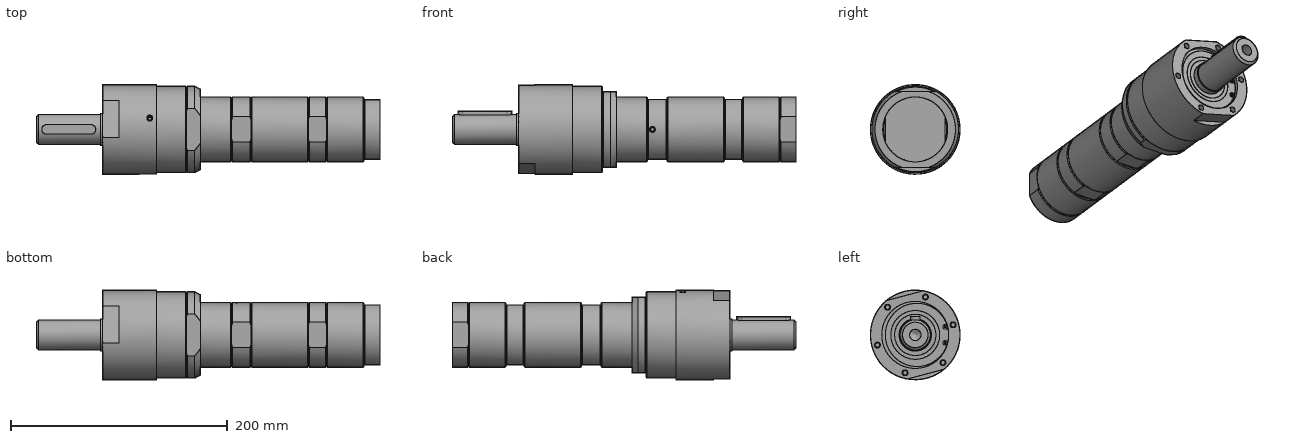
import cadquery as cq
import math

COLLAR_START = 59.5
FLANGE_FACE = 61.3
FLANGE_FLAT_END = 76.5
HOUSING_END = 111.0
ADAPTER_END = 138.7
NUT_CHAMFER_START = 146.0
NUT_END = 151.5
FRONT_BODY_END = 180.3
FRONT_FLATS_END = 198.0
MIDDLE_BODY_END = 251.0
REAR_FLATS_END = 268.0
REAR_BODY_END = 302.5
OVERALL_LENGTH = 317.5

SHAFT_DIA = 28.0
COLLAR_DIA = 30.0
HOUSING_DIA = 83.0
ADAPTER_DIA = 80.0
NUT_END_DIA = 74.3
BODY_DIA = 60.0

SHAFT_CHAMFER = 2.2
EDGE_CHAMFER = 1.0

NUT_FLATS = 70.0
BODY_FLATS = 55.2
FLANGE_FLATS = 75.0
FLANGE_TILT = 15.0

KEY_START = 5.0
KEY_LENGTH = 50.0
KEY_WIDTH = 9.0
KEY_TOP = 16.8

CENTRE_HOLE_DIA = 10.5
CENTRE_HOLE_DEPTH = 19.0
DRILL_POINT_ANGLE = 118.0

POCKET_DIA = 62.0
POCKET_DEPTH = 3.5
POCKET_FLOOR = FLANGE_FACE + POCKET_DEPTH
ECCENTRIC_STEP_DIA = 58.5
ECCENTRIC_STEP_DEPTH = 0.3
ECCENTRICITY = 1.5
SEAL_RING_OUTER_DIA = 45.0
SEAL_RING_INNER_DIA = 38.0
SEAL_RING_HEIGHT = 0.3
SCREW_COUNT = 6
SCREW_CIRCLE_RADIUS = 36.2
SCREW_HOLE_DIA = 4.0
SCREW_MOUTH_DIA = 5.5
SCREW_MOUTH_DEPTH = 6.5
SCREW_HOLE_DEPTH = 12.7
PIN_CIRCLE_RADIUS = 28.5
PIN_HOLE_DIA = 1.55
PIN_MOUTH_DIA = 4.0
PIN_MOUTH_DEPTH = 0.5
PIN_HOLE_DEPTH = 4.8

RADIAL_MOUTH_DIA = 5.5
RADIAL_MOUTH_DEPTH = 1.5
RADIAL_HOLE_DIA = 3.5
RADIAL_HOLE_DEPTH = 4.8
HOUSING_HOLE_X = 104.8
BODY_HOLE_X = 184.8


def cylinder(start, end, diameter, y=0.0):
    """Cylinder along X between two stations."""
    return cq.Workplane("YZ", origin=(start, y, 0)).circle(diameter / 2).extrude(end - start)


def with_flats(section, across_flats, axis):
    """Keep the part of a turned section between two flats facing plus and minus the given axis."""
    box_size = [OVERALL_LENGTH, HOUSING_DIA, HOUSING_DIA]
    box_size["XYZ".index(axis)] = across_flats
    slab = cq.Workplane("XY").box(*box_size).translate((OVERALL_LENGTH / 2, 0, 0))
    return section.intersect(slab)


def stepped_hole(mouth_dia, mouth_depth, hole_dia, hole_depth):
    """Cutter along X for a blind hole with a wider mouth; the mouth lies at the origin."""
    return cylinder(0, mouth_depth, mouth_dia).union(cylinder(0, hole_depth, hole_dia))


def make_shaft():
    shaft = cylinder(0, FLANGE_FACE, SHAFT_DIA).faces("<X").chamfer(SHAFT_CHAMFER)
    collar = cylinder(COLLAR_START, POCKET_FLOOR + ECCENTRIC_STEP_DEPTH, COLLAR_DIA)
    key = (
        cq.Workplane("XY", origin=(KEY_START + KEY_LENGTH / 2, 0, 0))
        .slot2D(KEY_LENGTH, KEY_WIDTH)
        .extrude(KEY_TOP)
    )
    hole_radius = CENTRE_HOLE_DIA / 2
    point_length = hole_radius / math.tan(math.radians(DRILL_POINT_ANGLE / 2))
    centre_hole = (
        cq.Workplane("XY")
        .polyline([
            (0, 0),
            (0, hole_radius),
            (CENTRE_HOLE_DEPTH, hole_radius),
            (CENTRE_HOLE_DEPTH + point_length, 0),
        ])
        .close()
        .revolve(360, (0, 0, 0), (1, 0, 0))
    )
    return shaft.union(collar).union(key).cut(centre_hole)


def cut_flange_pocket(housing):
    """Round pocket with a shallow eccentric step and a raised seal ring on its floor."""
    step_floor = POCKET_FLOOR + ECCENTRIC_STEP_DEPTH
    pocket = cylinder(FLANGE_FACE, POCKET_FLOOR, POCKET_DIA)
    step = cylinder(POCKET_FLOOR, step_floor, ECCENTRIC_STEP_DIA, y=-ECCENTRICITY)
    ring_start = step_floor - SEAL_RING_HEIGHT
    seal_ring = cylinder(ring_start, step_floor, SEAL_RING_OUTER_DIA).cut(
        cylinder(ring_start, step_floor, SEAL_RING_INNER_DIA)
    )
    return housing.cut(pocket).cut(step).union(seal_ring)


def cut_flange_holes(housing):
    """Ring of screw holes in the flange face and two pin holes in the pocket floor."""
    screw_hole = stepped_hole(SCREW_MOUTH_DIA, SCREW_MOUTH_DEPTH, SCREW_HOLE_DIA, SCREW_HOLE_DEPTH)
    screw_hole = screw_hole.translate((FLANGE_FACE, 0, SCREW_CIRCLE_RADIUS))
    for index in range(SCREW_COUNT):
        angle = FLANGE_TILT + index * 360 / SCREW_COUNT
        housing = housing.cut(screw_hole.rotate((0, 0, 0), (1, 0, 0), angle))

    pin_hole = stepped_hole(PIN_MOUTH_DIA, PIN_MOUTH_DEPTH, PIN_HOLE_DIA, PIN_HOLE_DEPTH)
    pin_hole = pin_hole.translate((POCKET_FLOOR + ECCENTRIC_STEP_DEPTH, -PIN_CIRCLE_RADIUS, 0))
    for angle in (FLANGE_TILT, -FLANGE_TILT):
        housing = housing.cut(pin_hole.rotate((0, 0, 0), (1, 0, 0), angle))
    return housing


def radial_hole(x, outside_dia):
    """Stepped hole cutter entering a cylinder from its +Z side."""
    hole = stepped_hole(RADIAL_MOUTH_DIA, RADIAL_MOUTH_DEPTH, RADIAL_HOLE_DIA, RADIAL_HOLE_DEPTH)
    return hole.rotate((0, 0, 0), (0, 1, 0), 90).translate((x, 0, outside_dia / 2))


def make_housing():
    housing = cylinder(FLANGE_FLAT_END, HOUSING_END, HOUSING_DIA)
    flange = with_flats(cylinder(FLANGE_FACE, FLANGE_FLAT_END, HOUSING_DIA), FLANGE_FLATS, "Z")
    housing = housing.union(flange.rotate((0, 0, 0), (1, 0, 0), -FLANGE_TILT))
    housing = cut_flange_holes(cut_flange_pocket(housing))
    top_hole = radial_hole(HOUSING_HOLE_X, HOUSING_DIA)
    return housing.cut(top_hole.rotate((0, 0, 0), (1, 0, 0), -FLANGE_TILT))


def make_nut():
    """Adapter ring and the flatted nut with a long rear chamfer."""
    adapter = cylinder(HOUSING_END, ADAPTER_END, ADAPTER_DIA).faces(">X").chamfer(EDGE_CHAMFER)
    nut = cylinder(ADAPTER_END, NUT_END, ADAPTER_DIA)
    nut = nut.faces("<X").chamfer(EDGE_CHAMFER)
    chamfer_height = (ADAPTER_DIA - NUT_END_DIA) / 2
    nut = nut.faces(">X").chamfer(NUT_END - NUT_CHAMFER_START, chamfer_height)
    return adapter.union(with_flats(nut, NUT_FLATS, "Z"))


def body_section(start, end, chamfered_ends):
    return cylinder(start, end, BODY_DIA).faces(chamfered_ends).chamfer(EDGE_CHAMFER)


def make_body():
    both_ends = "<X or >X"
    front_flats = body_section(FRONT_BODY_END, FRONT_FLATS_END, both_ends)
    rear_flats = body_section(MIDDLE_BODY_END, REAR_FLATS_END, both_ends)
    tail = body_section(REAR_BODY_END, OVERALL_LENGTH, "<X")

    body = body_section(NUT_END, FRONT_BODY_END, ">X")
    body = body.union(with_flats(front_flats, BODY_FLATS, "Z"))
    body = body.union(body_section(FRONT_FLATS_END, MIDDLE_BODY_END, both_ends))
    body = body.union(with_flats(rear_flats, BODY_FLATS, "Z"))
    body = body.union(body_section(REAR_FLATS_END, REAR_BODY_END, both_ends))
    body = body.union(with_flats(tail, BODY_FLATS, "Y"))

    side_hole = radial_hole(BODY_HOLE_X, BODY_DIA).rotate((0, 0, 0), (1, 0, 0), 90)
    return body.cut(side_hole)


result = make_shaft().union(make_housing()).union(make_nut()).union(make_body())